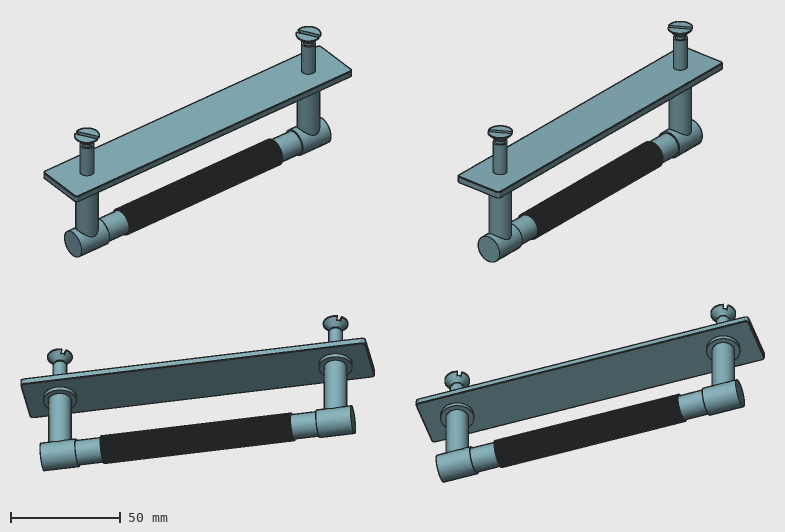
import cadquery as cq
import math

PLATE_WIDTH = 25.0
PLATE_LENGTH = 160.0
PLATE_THICKNESS = 3.4
PLATE_CORNER_RADIUS = 1.6
PLATE_EDGE_CHAMFER = 0.3

BAR_DIAMETER = 11.4
GRIP_DIAMETER = 12.8
GRIP_LENGTH = 88.3
RIDGE_COUNT = 44
RIDGE_HEIGHT = 0.5

POST_SPACING = 128.0
POST_DIAMETER = 10.4
SOCKET_DIAMETER = GRIP_DIAMETER
SOCKET_LENGTH = 16.2
FLANGE_DIAMETER = 15.2
FLANGE_THICKNESS = 2.0

HEAD_DIAMETER = 11.4
HEAD_RIM = 0.5
NECK_DIAMETER = 4.6
NECK_LENGTH = 1.5
SHANK_DIAMETER = 6.4
SCREW_LENGTH = 30.0
SLOT_WIDTH = 2.0
SLOT_DEPTH = 1.6
SLOT_ANGLE = 30.0

TOTAL_HEIGHT = 64.3
SCREW_STANDOUT = 20.6
SCREW_TOP = TOTAL_HEIGHT - SOCKET_DIAMETER / 2
PLATE_TOP = SCREW_TOP - SCREW_STANDOUT
PLATE_BOTTOM = PLATE_TOP - PLATE_THICKNESS
SCREW_TIP = SCREW_TOP - SCREW_LENGTH

POST_POSITIONS = (-POST_SPACING / 2, POST_SPACING / 2)
BAR_LENGTH = POST_SPACING - SOCKET_LENGTH


def upright_cylinder(diameter, bottom, top, y):
    """Vertical cylinder on the X = 0 plane, between two heights."""
    return cq.Workplane("XY", origin=(0, y, bottom)).circle(diameter / 2).extrude(top - bottom)


def make_plate():
    plate = (
        cq.Workplane("XY", origin=(0, 0, PLATE_BOTTOM))
        .rect(PLATE_WIDTH, PLATE_LENGTH)
        .extrude(PLATE_THICKNESS)
        .edges("|Z").fillet(PLATE_CORNER_RADIUS)
        .faces("<Z or >Z").edges().chamfer(PLATE_EDGE_CHAMFER)
    )
    for y in POST_POSITIONS:
        plate = plate.cut(upright_cylinder(SHANK_DIAMETER, PLATE_BOTTOM, PLATE_TOP, y))
    return plate


def point_around_bar(radius, angle):
    return (radius * math.sin(angle), radius * math.cos(angle))


def grip_outline():
    """Closed outline of square ridges, each as wide as the groove that follows it."""
    crest_radius = GRIP_DIAMETER / 2
    root_radius = crest_radius - RIDGE_HEIGHT
    pitch = 2 * math.pi / RIDGE_COUNT
    ridge_angle = pitch / 2
    points = []
    for i in range(RIDGE_COUNT):
        start = i * pitch - ridge_angle / 2
        end = start + ridge_angle
        next_start = start + pitch
        points.append(point_around_bar(crest_radius, start))
        points.append(point_around_bar(crest_radius, end))
        points.append(point_around_bar(root_radius, end))
        points.append(point_around_bar(root_radius, next_start))
    return points


def make_bar():
    """Round bar with a grip whose fine ridges run along it."""
    bar = (
        cq.Workplane("XZ", origin=(0, BAR_LENGTH / 2, 0))
        .circle(BAR_DIAMETER / 2)
        .extrude(BAR_LENGTH)
    )
    grip = (
        cq.Workplane("XZ", origin=(0, GRIP_LENGTH / 2, 0))
        .polyline(grip_outline()).close()
        .extrude(GRIP_LENGTH)
    )
    return bar.union(grip)


def make_post(y):
    socket = (
        cq.Workplane("XZ", origin=(0, y + SOCKET_LENGTH / 2, 0))
        .circle(SOCKET_DIAMETER / 2)
        .extrude(SOCKET_LENGTH)
    )
    leg = upright_cylinder(POST_DIAMETER, 0, PLATE_BOTTOM, y)
    flange = upright_cylinder(FLANGE_DIAMETER, PLATE_BOTTOM - FLANGE_THICKNESS, PLATE_BOTTOM, y)
    screw_hole = upright_cylinder(SHANK_DIAMETER, SCREW_TIP, PLATE_BOTTOM, y)
    return socket.union(leg).union(flange).cut(screw_hole)


def make_screw(y):
    head_radius = HEAD_DIAMETER / 2
    neck_radius = NECK_DIAMETER / 2
    shank_radius = SHANK_DIAMETER / 2
    neck_top = SCREW_TOP - HEAD_RIM - (head_radius - neck_radius)
    shank_top = neck_top - NECK_LENGTH
    screw = (
        cq.Workplane("XZ")
        .moveTo(0, SCREW_TOP)
        .lineTo(head_radius, SCREW_TOP)
        .lineTo(head_radius, SCREW_TOP - HEAD_RIM)
        .lineTo(neck_radius, neck_top)
        .lineTo(neck_radius, shank_top)
        .lineTo(shank_radius, shank_top)
        .lineTo(shank_radius, SCREW_TIP)
        .lineTo(0, SCREW_TIP)
        .close()
        .revolve(360, (0, 0, 0), (0, 1, 0))
    )
    slot = (
        cq.Workplane("XY", origin=(0, 0, SCREW_TOP - SLOT_DEPTH))
        .rect(HEAD_DIAMETER, SLOT_WIDTH)
        .extrude(SLOT_DEPTH)
        .rotate((0, 0, 0), (0, 0, 1), SLOT_ANGLE)
    )
    return screw.cut(slot).translate((0, y, 0))


plate = make_plate()
bar = make_bar()
posts = [make_post(y) for y in POST_POSITIONS]
screws = [make_screw(y) for y in POST_POSITIONS]

result = cq.Compound.makeCompound(
    [plate.val(), bar.val()] + [post.val() for post in posts] + [screw.val() for screw in screws]
)